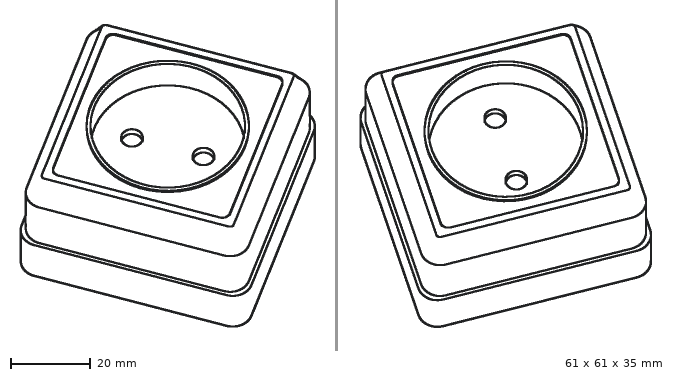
import cadquery as cq
import math

base_side = 61.0
base_height = 13.0
corner_radius = 5.0

total_height = 35.0
cover_side = 59.0
bevel_height = 7.0
bevel_angle = 30.0
cover_wall_height = total_height - base_height - bevel_height
bevel_inset = bevel_height * math.tan(math.radians(bevel_angle))
bevel_top_radius = corner_radius - bevel_inset

panel_side = 46.85
panel_corner_radius = 2.0
panel_depth = 0.5

rim_diameter = 41.0
well_diameter = 39.0
well_depth = 9.0

contact_diameter = 5.5
contact_spacing = 19.0
contact_depth = 2.0


def rounded_block(side, height, radius, bottom):
    """Square block with rounded vertical edges, centred on the Z axis."""
    block = cq.Workplane("XY").workplane(offset=bottom).rect(side, side).extrude(height)
    return block.edges("|Z").fillet(radius)


def disc(diameter, height, bottom, x=0):
    """Upright cylinder placed on the X axis."""
    return cq.Workplane("XY").workplane(offset=bottom).center(x, 0).circle(diameter / 2).extrude(height)


def bevelled_cap():
    """Frustum whose rounded corners narrow towards the top."""
    bevel_bottom = total_height - bevel_height
    bottom_outline = cq.Sketch().rect(cover_side, cover_side).vertices().fillet(corner_radius)
    top_side = cover_side - 2 * bevel_inset
    top_outline = cq.Sketch().rect(top_side, top_side).vertices().fillet(bevel_top_radius)
    return (
        cq.Workplane("XY")
        .workplane(offset=bevel_bottom)
        .placeSketch(bottom_outline, top_outline.moved(cq.Location(cq.Vector(0, 0, bevel_height))))
        .loft()
    )


body = rounded_block(base_side, base_height, corner_radius, 0)
body = body.union(rounded_block(cover_side, cover_wall_height, corner_radius, base_height))
body = body.union(bevelled_cap())

panel_floor = total_height - panel_depth
panel = rounded_block(panel_side, panel_depth, panel_corner_radius, panel_floor)
body = body.cut(panel.cut(disc(rim_diameter, panel_depth, panel_floor)))

well_floor = total_height - well_depth
body = body.cut(disc(well_diameter, well_depth, well_floor))

for side in (-1, 1):
    contact_x = side * contact_spacing / 2
    body = body.cut(disc(contact_diameter, contact_depth, well_floor - contact_depth, contact_x))

result = body